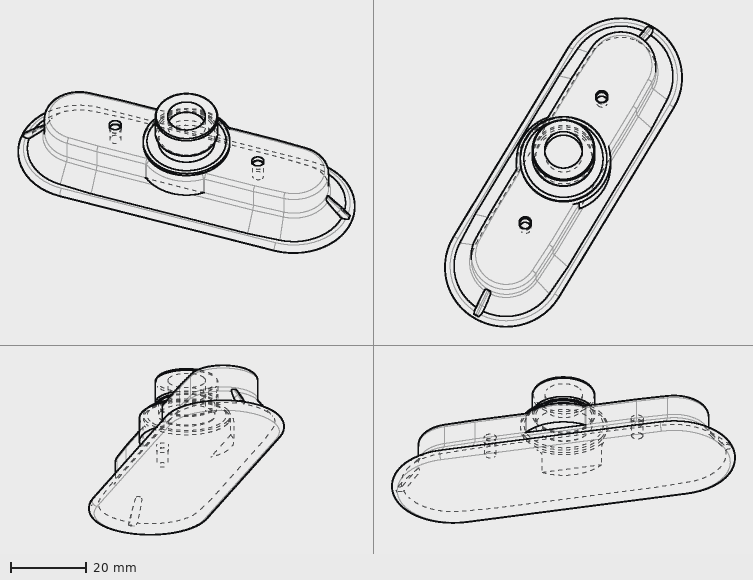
import cadquery as cq
import math

pick_margin = 0.01

length = 92.5
width = 32.5
overall_height = 26.4
end_center_x = (length - width) / 2
middle_half_length = 21.9

bead_height = 2.7

skirt_end_radius = 13.8
skirt_half_width = 14.2
skirt_top = 8.2
skirt_round = 2.2

wall_end_radius = 9.25
wall_half_width = 9.5
body_top = 15.5
body_round = 1.1

boss_radius = 12.5
boss_bottom = 8.9
boss_corner_round = 0.5

flange_diameter = 23.0
seal_diameter = 21.0
neck_diameter = 15.0
head_diameter = 16.65
flange_top = 16.4
seal_top = 17.2
head_bottom = 19.3
head_chamfer_height = 0.6
head_chamfer_width = 0.3
bore_diameter = 10.0
bore_depth = 4.1

hole_spacing = 40.0
hole_diameter = 3.2
hole_step_diameter = 3.0
hole_step_depth = 1.4
hole_depth = 5.55

rib_width = 2.1
rib_round = 0.8
rib_foot_x = 45.6
rib_bend_x = 43.1
rib_bend_z = 5.2
rib_top_z = 8.5


def tapered_outline(end_radius, half_width, level):
    """Closed outline: parallel middle, tapered sides, and tangent round ends."""
    taper_length = end_center_x - middle_half_length
    taper_angle = math.acos(end_radius / math.hypot(half_width, taper_length)) - math.atan2(
        taper_length, half_width
    )
    tangent_x = end_center_x + end_radius * math.sin(taper_angle)
    tangent_y = end_radius * math.cos(taper_angle)
    tip_x = end_center_x + end_radius
    return (
        cq.Workplane("XY", origin=(0, 0, level))
        .moveTo(-middle_half_length, -half_width)
        .lineTo(middle_half_length, -half_width)
        .lineTo(tangent_x, -tangent_y)
        .threePointArc((tip_x, 0), (tangent_x, tangent_y))
        .lineTo(middle_half_length, half_width)
        .lineTo(-middle_half_length, half_width)
        .lineTo(-tangent_x, tangent_y)
        .threePointArc((-tip_x, 0), (-tangent_x, -tangent_y))
        .close()
    )


def make_bead():
    """Foot plate with a fully rounded rim: a bar between two turned discs."""
    bead_radius = bead_height / 2
    flat_radius = width / 2 - bead_radius
    bead = (
        cq.Workplane("YZ")
        .center(0, bead_radius)
        .slot2D(width, bead_height)
        .extrude(end_center_x, both=True)
    )
    disc = (
        cq.Workplane("XZ")
        .lineTo(flat_radius, 0)
        .threePointArc((width / 2, bead_radius), (flat_radius, bead_height))
        .lineTo(0, bead_height)
        .close()
        .revolve(360, (0, 0, 0), (0, 1, 0))
    )
    for side in (-1, 1):
        bead = bead.union(disc.translate((side * end_center_x, 0, 0)))
    return bead


def make_body():
    """Skirt and upright wall, blended where they meet."""
    skirt_foot = tapered_outline(skirt_end_radius, skirt_half_width, bead_height).wires().val()
    skirt_head = tapered_outline(wall_end_radius, wall_half_width, skirt_top).wires().val()
    skirt = cq.Workplane(cq.Solid.makeLoft([skirt_foot, skirt_head], True))
    wall = tapered_outline(wall_end_radius, wall_half_width, skirt_top).extrude(body_top - skirt_top)
    seam = cq.selectors.BoxSelector(
        (-length, -width, skirt_top - pick_margin),
        (length, width, skirt_top + pick_margin),
    )
    return skirt.union(wall).edges(seam).fillet(skirt_round)


def make_boss_half(side):
    """Half of the round boss; side is -1 for the front and +1 for the back."""
    boss_height = body_top - boss_bottom
    boss = cq.Workplane("XY", origin=(0, 0, boss_bottom)).circle(boss_radius).extrude(boss_height)
    half_space = cq.Workplane("XY", origin=(0, side * boss_radius, boss_bottom)).box(
        2 * boss_radius, 2 * boss_radius, boss_height, centered=(True, True, False)
    )
    return boss.intersect(half_space)


def make_fitting():
    """Flange, domed seal ring, neck and chamfered head as one turned profile."""
    flange_radius = flange_diameter / 2
    seal_radius = seal_diameter / 2
    neck_radius = neck_diameter / 2
    head_radius = head_diameter / 2
    seal_crest_radius = (seal_radius + neck_radius) / 2
    return (
        cq.Workplane("XZ")
        .moveTo(0, body_top)
        .lineTo(flange_radius, body_top)
        .lineTo(flange_radius, flange_top)
        .lineTo(seal_radius, flange_top)
        .threePointArc((seal_crest_radius, seal_top), (neck_radius, flange_top))
        .lineTo(neck_radius, head_bottom)
        .lineTo(head_radius - head_chamfer_width, head_bottom)
        .lineTo(head_radius, head_bottom + head_chamfer_height)
        .lineTo(head_radius, overall_height - head_chamfer_height)
        .lineTo(head_radius - head_chamfer_width, overall_height)
        .lineTo(0, overall_height)
        .close()
        .revolve(360, (0, 0, 0), (0, 1, 0))
    )


def make_rib():
    """Rib on the +X skirt end, rounded along both sides of its crest."""
    root_x = end_center_x
    foot_z = bead_height / 2
    wall_x = end_center_x + wall_end_radius
    crest_sides = cq.selectors.BoxSelector(
        (wall_x, -rib_width, bead_height),
        (rib_foot_x, rib_width, rib_top_z),
    ) - cq.StringSyntaxSelector("|Y or |X or |Z")
    return (
        cq.Workplane("XZ")
        .moveTo(root_x, foot_z)
        .lineTo(rib_foot_x, foot_z)
        .lineTo(rib_foot_x, bead_height)
        .lineTo(rib_bend_x, rib_bend_z)
        .lineTo(wall_x, rib_top_z)
        .lineTo(root_x, rib_top_z)
        .close()
        .extrude(rib_width / 2, both=True)
        .edges(crest_sides)
        .fillet(rib_round)
    )


body = make_body().union(make_boss_half(-1))
boss_corners = cq.selectors.BoxSelector(
    (-boss_radius, -boss_radius, boss_bottom),
    (boss_radius, -wall_half_width + pick_margin, body_top),
)
body = body.edges(boss_corners).edges("|Z").fillet(boss_corner_round)
body = body.faces(">Z").edges().fillet(body_round)

result = make_bead().union(body).union(make_boss_half(1)).union(make_fitting())
rib = make_rib()
result = result.union(rib).union(rib.mirror("YZ"))

result = result.faces(">Z").workplane(origin=(0, 0, 0)).hole(bore_diameter, bore_depth)

for diameter, depth in ((hole_diameter, hole_step_depth), (hole_step_diameter, hole_depth)):
    holes = (
        cq.Workplane("XY", origin=(0, 0, body_top))
        .pushPoints([(-hole_spacing / 2, 0), (hole_spacing / 2, 0)])
        .circle(diameter / 2)
        .extrude(-depth)
    )
    result = result.cut(holes)